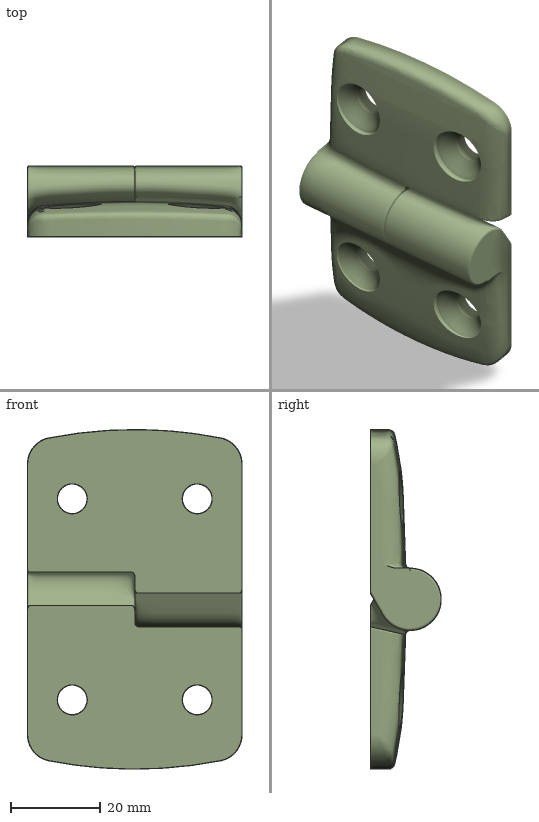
import cadquery as cq
import math


leaf_width = 48.0
half_width = leaf_width / 2
leaf_reach = 38.0
end_radius = 100.0
corner_radius = 6.0

hinge_thickness = 8.2
taper_angle = 2.0
bend_start = 22.6
bend_radius = 60.8
bend_angle = 18.0
crown_radius = 228.0
side_round = 4.0
end_round = 1.5

barrel_radius = 7.0
total_depth = 15.9
axis_y = total_depth - barrel_radius
slope_angle = 60.0
knuckle_round = 0.5
neck_round = 0.9
neck_overrun = 3.8
leaf_root = 6.1

notch_front = 6.15
notch_slope = 12.5
notch_edge_round = 0.45
notch_corner_round = 1.0

hole_x = 14.0
hole_z = 22.5
hole_diameter = 6.6
shank_length = 3.0
countersink_angle = 90.0
head_diameter = 12.8

beyond = 0.75
big = 2 * leaf_reach
selection_gap = 0.1


def polar(center, radius, degrees):
    """Point on a circle, with the angle measured from the first axis."""
    angle = math.radians(degrees)
    return (center[0] + radius * math.cos(angle), center[1] + radius * math.sin(angle))


def mirrored(point):
    return (-point[0], point[1])


def crowned_profile(plane, base, big_radius, small_radius, crest):
    """Closed outline: a straight base, straight sides, and a big arc blended into the sides."""
    arc_center = (0, crest - big_radius)
    corner_x = half_width - small_radius
    lean = math.degrees(math.asin(corner_x / (big_radius - small_radius)))
    corner = polar(arc_center, big_radius - small_radius, 90 - lean)
    blend_end = polar(corner, small_radius, 90 - lean)
    blend_middle = polar(corner, small_radius, (90 - lean) / 2)
    side_end = (half_width, corner[1])
    return (
        cq.Workplane(plane)
        .moveTo(-half_width, base)
        .lineTo(half_width, base)
        .lineTo(*side_end)
        .threePointArc(blend_middle, blend_end)
        .threePointArc((0, crest), mirrored(blend_end))
        .threePointArc(mirrored(blend_middle), mirrored(side_end))
        .close()
    )


def make_slab():
    """Leaf plate over the full width, from the hinge axis to the curved end."""
    straight_end = (-bend_start * math.tan(math.radians(taper_angle)), bend_start)
    bend_center = polar(straight_end, bend_radius, 180 + taper_angle)
    path = (
        cq.Workplane("YZ")
        .lineTo(*straight_end)
        .threePointArc(
            polar(bend_center, bend_radius, taper_angle + bend_angle / 2),
            polar(bend_center, bend_radius, taper_angle + bend_angle),
        )
    )
    section = crowned_profile("XY", -hinge_thickness, crown_radius, side_round, hinge_thickness)
    outline = crowned_profile("XZ", 0, end_radius, corner_radius, leaf_reach).extrude(-big)
    slab = section.sweep(path).intersect(outline)
    return slab.edges("%BSPLINE").fillet(end_round)


def knuckle_outline(top_z):
    """Knuckle section in the YZ plane: sloping flat and barrel, with its leaf side reaching top_z."""
    axis = (axis_y, 0)
    tangent = polar(axis, barrel_radius, -90 - slope_angle)
    foot_z = tangent[1] + tangent[0] * math.tan(math.radians(slope_angle))
    outline = (
        cq.Workplane("YZ")
        .moveTo(0, foot_z)
        .lineTo(*tangent)
        .threePointArc((total_depth, 0), (axis_y, barrel_radius))
    )
    if top_z > barrel_radius:
        outline = outline.lineTo(axis_y, top_z)
    return outline.lineTo(0, top_z).close()


def make_envelope():
    """Room that the +X half fills: its knuckle ends are rounded along the flat and the barrel."""
    envelope = knuckle_outline(big).extrude(half_width)
    ends = envelope.faces("<X or >X")
    return ends.edges("%CIRCLE").fillet(knuckle_round)


def half_space(side):
    """Block covering everything on the +X (side = 1) or -X (side = -1) side of x = 0."""
    return cq.Workplane("XY").box(big, big, 2 * big).translate((side * big / 2, 0, 0))


def make_knuckle_half(slab):
    """+X half of a leaf: the plate joined to its length of knuckle."""
    below_root = cq.Workplane("XY").box(big, big, leaf_root, centered=(True, True, False))
    bar = knuckle_outline(barrel_radius).extrude(half_width + neck_overrun, both=True)
    joined = slab.cut(below_root).union(bar)
    neck_selector = cq.selectors.BoxSelector(
        (-half_width - beyond, -beyond, barrel_radius - selection_gap),
        (half_width + beyond, hinge_thickness, barrel_radius + selection_gap),
    )
    joined = joined.edges(neck_selector).fillet(neck_round)
    return joined.intersect(make_envelope())


def make_notched_half(slab):
    """-X half of a leaf, cut back to clear the other leaf's knuckle."""
    rise = math.tan(math.radians(notch_slope))
    clearance = (
        cq.Workplane("YZ")
        .moveTo(-beyond, -beyond)
        .lineTo(total_depth, -beyond)
        .lineTo(total_depth, notch_front + total_depth * rise)
        .lineTo(-beyond, notch_front - beyond * rise)
        .close()
        .extrude(-half_width - beyond)
        .faces(">Z")
        .edges(">X")
        .fillet(notch_corner_round)
    )
    half = slab.intersect(half_space(-1)).cut(clearance)
    side_edge = cq.selectors.NearestToPointSelector((-half_width, beyond, notch_front))
    return half.edges(side_edge).fillet(notch_edge_round)


def screw_holes():
    """Through holes with countersunk head recesses from the back."""
    hole_radius = hole_diameter / 2
    head_radius = head_diameter / 2
    cone_length = (head_radius - hole_radius) / math.tan(math.radians(countersink_angle / 2))
    hole = (
        cq.Workplane("XY")
        .moveTo(0, -beyond)
        .lineTo(hole_radius, -beyond)
        .lineTo(hole_radius, shank_length)
        .lineTo(head_radius, shank_length + cone_length)
        .lineTo(head_radius, total_depth)
        .lineTo(0, total_depth)
        .close()
        .revolve(360, (0, 0, 0), (0, 1, 0))
    )
    return hole.translate((-hole_x, 0, hole_z)).union(hole.translate((hole_x, 0, hole_z)))


def make_leaf():
    slab = make_slab()
    return make_knuckle_half(slab).union(make_notched_half(slab)).cut(screw_holes())


upper_leaf = make_leaf()
lower_leaf = upper_leaf.rotate((0, 0, 0), (0, 1, 0), 180)

result = cq.Compound.makeCompound([upper_leaf.val(), lower_leaf.val()])